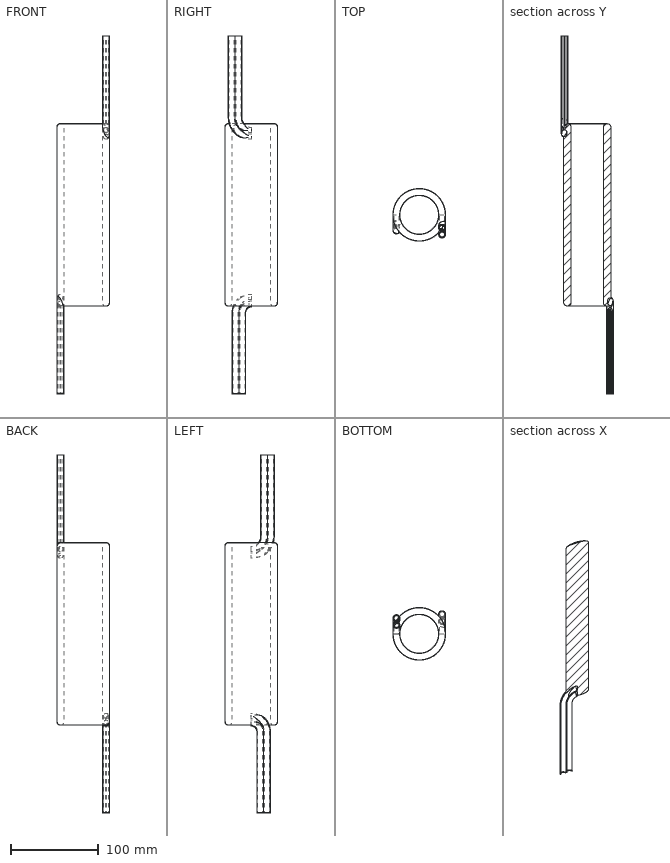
import cadquery as cq

total_height = 408.0
body_diameter = 60.0
bore_diameter = 44.0
body_height = 208.0
wall = (body_diameter - bore_diameter) / 2
rim_radius = (body_diameter + bore_diameter) / 4

tube_clearance = 0.1
tube_diameter = wall - 2 * tube_clearance
tube_bore = 5.7
tube_overlap = 0.1
tube_pitch = tube_diameter - tube_overlap
bend_end_gap = 7.5
bend_end_z = body_height / 2 + bend_end_gap

upper_bend_radius = 14.5
lower_bend_radius = 10.0


def make_body():
    outer, inner = body_diameter / 2, bore_diameter / 2
    side_end = (body_height - wall) / 2
    profile = (
        cq.Workplane("XZ")
        .moveTo(inner, -side_end)
        .threePointArc((rim_radius, -body_height / 2), (outer, -side_end))
        .lineTo(outer, side_end)
        .threePointArc((rim_radius, body_height / 2), (inner, side_end))
        .close()
    )
    return profile.revolve(360, (0, 0, 0), (0, 1, 0))


def make_rod(x, bend_radius, side, diameter):
    """Rod from the wall at Y=0, round a quarter bend, to the part end at side * Z."""
    start_z = bend_end_z - bend_radius
    radius = diameter / 2
    rod = (
        cq.Workplane("XY", origin=(x, -bend_radius, side * bend_end_z))
        .circle(radius)
        .extrude(side * (total_height / 2 - bend_end_z))
    )
    bend = (
        cq.Workplane("XZ", origin=(x, 0, side * start_z))
        .circle(radius)
        .revolve(90, (0, side * bend_radius, 0), (-side, side * bend_radius, 0))
    )
    return rod.union(bend)


def tube_pair(x, inner_radius, side, diameter):
    """Two rods whose bends are nested around the same centre."""
    inner = make_rod(x, inner_radius, side, diameter)
    outer = make_rod(x, inner_radius + tube_pitch, side, diameter)
    return inner.union(outer)


upper_path = (rim_radius, upper_bend_radius, 1)
lower_path = (-rim_radius, lower_bend_radius, -1)

result = make_body()
for path in (upper_path, lower_path):
    result = result.union(tube_pair(*path, tube_diameter))
for path in (upper_path, lower_path):
    result = result.cut(tube_pair(*path, tube_bore))